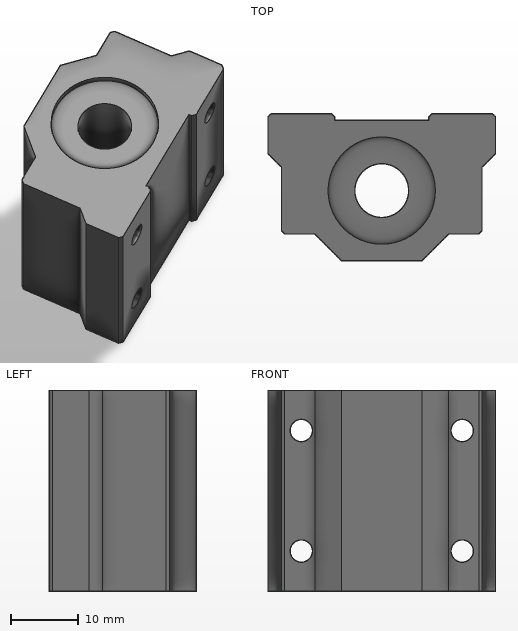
import cadquery as cq

width = 34.0
depth = 22.0
height = 30.0
bore_to_front = 10.5
edge_chamfer = 0.5

nose_half_width = 6.0
nose_depth = 4.0
body_half_width = 15.0

flange_half_width = width / 2
flange_side_depth = 6.0
flange_slope = flange_half_width - body_half_width
channel_half_width = 7.0
channel_depth = 1.0

bore_diameter = 8.0
recess_diameter = 16.0
recess_depth = 1.0

hole_diameter = 3.3
hole_spacing_x = 24.0
hole_spacing_z = 18.0

front_y = -bore_to_front
back_y = front_y + depth
shoulder_y = front_y + nose_depth
flange_y = back_y - flange_side_depth


def make_body():
    """Extrude the symmetric housing profile along the bore axis."""
    right_side = [
        (nose_half_width, front_y),
        (nose_half_width + nose_depth, shoulder_y),
        (body_half_width - edge_chamfer, shoulder_y),
        (body_half_width, shoulder_y + edge_chamfer),
        (body_half_width, flange_y - flange_slope),
        (flange_half_width, flange_y),
        (flange_half_width, back_y - edge_chamfer),
        (flange_half_width - edge_chamfer, back_y),
        (channel_half_width + edge_chamfer, back_y),
        (channel_half_width, back_y - edge_chamfer),
        (channel_half_width, back_y - channel_depth),
    ]
    left_side = [(-x, y) for x, y in reversed(right_side)]
    return cq.Workplane("XY").polyline(right_side + left_side).close().extrude(height)


def cut_bore(body):
    """Cut the through bore and the shallow recess at each end."""
    bore = cq.Workplane("XY").circle(bore_diameter / 2).extrude(height)
    body = body.cut(bore)
    for recess_z in (0, height - recess_depth):
        recess = (
            cq.Workplane("XY")
            .workplane(offset=recess_z)
            .circle(recess_diameter / 2)
            .extrude(recess_depth)
        )
        body = body.cut(recess)
    return body


def cut_mounting_holes(body):
    """Drill the four holes through the housing along Y."""
    holes = (
        cq.Workplane("XZ", origin=(0, back_y, height / 2))
        .rarray(hole_spacing_x, hole_spacing_z, 2, 2)
        .circle(hole_diameter / 2)
        .extrude(depth)
    )
    return body.cut(holes)


result = cut_mounting_holes(cut_bore(make_body()))